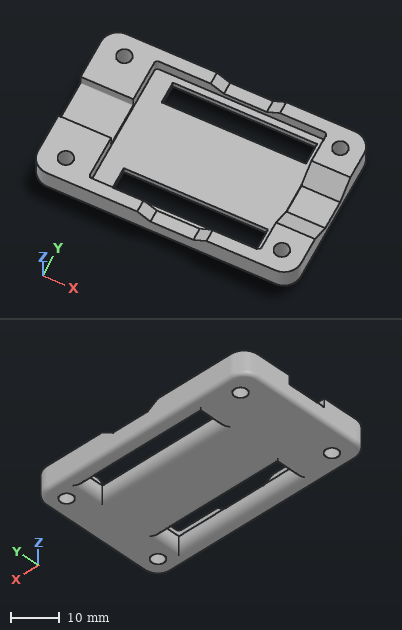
import cadquery as cq

length = 60.6
width = 37.15
height = 6.3
corner_radius = 4.0
bottom_round = 1.0

pocket_length = 39.45
pocket_width = 31.2
pocket_depth = 3.15
pocket_corner_radius = 0.7
pocket_left_wall = 12.2
pocket_center_x = -length / 2 + pocket_left_wall + pocket_length / 2
pocket_right_x = pocket_center_x + pocket_length / 2
floor_thickness = height - pocket_depth

window_length = 33.15
window_width = 5.2
window_inset = 1.6
window_right_gap = 1.6
window_round = 2.0
window_center_x = pocket_right_x - window_right_gap - window_length / 2
window_center_y = pocket_width / 2 - window_inset - window_width / 2

hole_diameter = 3.4
hole_edge_distance = 4.95
hole_left_distance = 5.95
hole_y = width / 2 - hole_edge_distance
hole_columns_x = (-length / 2 + hole_left_distance, length / 2 - hole_edge_distance)

side_notch_center_x = 2.5
side_notch_top = 15.95
side_notch_floor = 9.9
side_notch_depth = 1.8

right_notch_top = 16.5
right_notch_floor = 6.9
right_notch_depth = 2.85

left_notch_width = 10.35
left_notch_depth = 2.4
left_notch_round = 0.25


def sloped_notch(plane, top, floor, depth, run):
    """Trapezoid below the top face, extruded along the plane normal."""
    return (
        cq.Workplane(plane)
        .polyline([
            (-top / 2, height),
            (-floor / 2, height - depth),
            (floor / 2, height - depth),
            (top / 2, height),
        ])
        .close()
        .extrude(run)
    )


def make_block():
    return (
        cq.Workplane("XY")
        .box(length, width, height, centered=(True, True, False))
        .edges("|Z").fillet(corner_radius)
        .faces("<Z").edges().fillet(bottom_round)
    )


def make_pocket():
    return (
        cq.Workplane("XY", origin=(pocket_center_x, 0, floor_thickness))
        .rect(pocket_length, pocket_width)
        .extrude(pocket_depth)
        .edges("|Z").fillet(pocket_corner_radius)
    )


def make_left_notch():
    return (
        cq.Workplane("XY", origin=(-length / 2 + pocket_left_wall / 2, 0, height - left_notch_depth))
        .box(pocket_left_wall, left_notch_width, left_notch_depth, centered=(True, True, False))
        .edges("|X and <Z").fillet(left_notch_round)
    )


def make_right_notch():
    plane = cq.Plane(origin=(pocket_right_x, 0, 0), xDir=(0, 1, 0), normal=(1, 0, 0))
    run = length / 2 - pocket_right_x
    return sloped_notch(plane, right_notch_top, right_notch_floor, right_notch_depth, run)


def make_side_notches():
    plane = cq.Plane(origin=(side_notch_center_x, width / 2, 0), xDir=(1, 0, 0), normal=(0, -1, 0))
    return sloped_notch(plane, side_notch_top, side_notch_floor, side_notch_depth, width)


part = (
    make_block()
    .cut(make_pocket())
    .cut(make_left_notch())
    .cut(make_right_notch())
    .cut(make_side_notches())
)

for side in (-1, 1):
    window = (
        cq.Workplane("XY")
        .center(window_center_x, side * window_center_y)
        .rect(window_length, window_width)
        .extrude(floor_thickness)
    )
    part = part.cut(window)

window_rims = [
    edge
    for wire in part.faces("<Z").val().innerWires()
    for edge in wire.Edges()
]
part = part.newObject(window_rims).fillet(window_round)

holes = (
    cq.Workplane("XY")
    .pushPoints([(x, side * hole_y) for x in hole_columns_x for side in (-1, 1)])
    .circle(hole_diameter / 2)
    .extrude(height)
)
result = part.cut(holes)